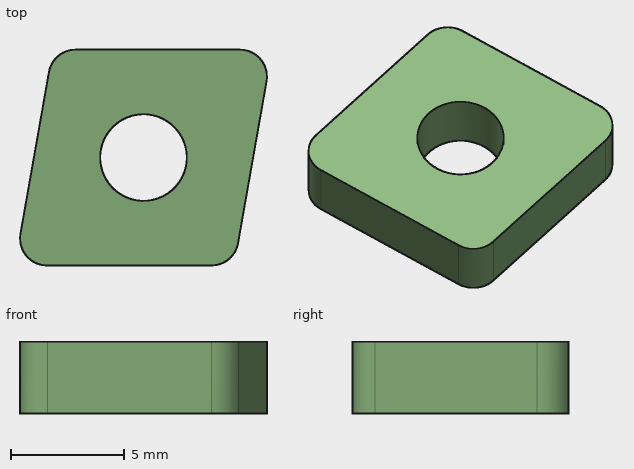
import cadquery as cq
import math

INSCRIBED_DIAMETER = 9.525
ACUTE_ANGLE = 80.0
THICKNESS = 3.175
CORNER_RADIUS = 1.2
BORE_DIAMETER = 3.81

side_length = INSCRIBED_DIAMETER / math.sin(math.radians(ACUTE_ANGLE))
half_side = side_length / 2
half_height = INSCRIBED_DIAMETER / 2
half_lean = half_height / math.tan(math.radians(ACUTE_ANGLE))


def rhombic_body():
    """Rhombic plate with two sides along X and all corners rounded."""
    corners = [
        (-half_side - half_lean, -half_height),
        (half_side - half_lean, -half_height),
        (half_side + half_lean, half_height),
        (-half_side + half_lean, half_height),
    ]
    plate = cq.Workplane("XY").polyline(corners).close().extrude(THICKNESS)
    return plate.edges("|Z").fillet(CORNER_RADIUS)


def clamping_bore():
    """Cylinder that clears the clamping hole through the full thickness."""
    return cq.Workplane("XY").circle(BORE_DIAMETER / 2).extrude(THICKNESS)


result = rhombic_body().cut(clamping_bore())